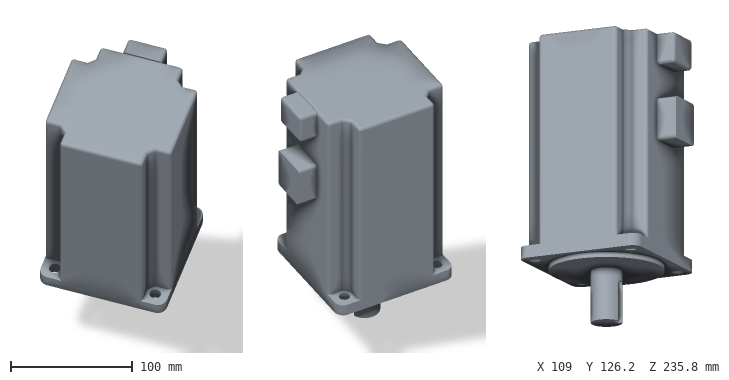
import cadquery as cq

pilot_bottom = 43.9
flange_bottom = 48.0
flange_top = 58.5
housing_top = 235.8

body_side = 109.0
flange_corner_radius = 8.0
hole_spacing = 86.8
hole_diameter = 9.5

notch_depth = 18.9
notch_chamfer = 5.5
edge_radius = 2.8

pilot_diameter = 95.5
shaft_diameter = 26.0

keyway_width = 8.0
keyway_depth = 4.0
keyway_top = 34.5

connector_width = 33.7
upper_connector_length = 15.8
upper_connector_bottom = 209.5
upper_connector_top = 235.3
lower_connector_length = 17.2
lower_connector_bottom = 145.3
lower_connector_top = 180.9

half_side = body_side / 2


def cylinder(diameter, bottom, top):
    """Cylinder on the Z axis between two heights."""
    return cq.Workplane("XY").workplane(offset=bottom).circle(diameter / 2).extrude(top - bottom)


def make_flange():
    """Square plate with rounded corners and four through holes."""
    return (
        cq.Workplane("XY")
        .workplane(offset=flange_bottom)
        .rect(body_side, body_side)
        .extrude(flange_top - flange_bottom)
        .edges("|Z")
        .fillet(flange_corner_radius)
        .faces(">Z")
        .workplane(origin=(0, 0, flange_top))
        .rect(hole_spacing, hole_spacing, forConstruction=True)
        .vertices()
        .hole(hole_diameter)
    )


def make_notch(x_side, y_side):
    """Square corner cutter whose inner corner is bevelled; the sides are +1 or -1."""
    inner = half_side - notch_depth
    bevel = inner + notch_chamfer
    outline = [
        (half_side, inner),
        (bevel, inner),
        (inner, bevel),
        (inner, half_side),
        (half_side, half_side),
    ]
    return (
        cq.Workplane("XY")
        .workplane(offset=flange_top)
        .polyline([(x_side * x, y_side * y) for x, y in outline])
        .close()
        .extrude(housing_top - flange_top)
    )


def make_housing():
    """Square block with notched corners, rounded vertical outer edges and a rounded top rim."""
    housing = (
        cq.Workplane("XY")
        .workplane(offset=flange_top)
        .rect(body_side, body_side)
        .extrude(housing_top - flange_top)
    )
    for x_side in (-1, 1):
        for y_side in (-1, 1):
            housing = housing.cut(make_notch(x_side, y_side))
    housing = housing.faces("<X or >X or <Y or >Y").edges("|Z").fillet(edge_radius)
    return housing.faces(">Z").edges().fillet(edge_radius)


def make_connector(length, bottom, top):
    """Box standing out from the +Y face, with its lengthwise edges rounded."""
    return (
        cq.Workplane("XY")
        .box(connector_width, length, top - bottom, centered=(True, False, False))
        .translate((0, half_side, bottom))
        .edges("|Y")
        .fillet(edge_radius)
    )


def make_keyway():
    """Slot cutter with a round upper end, running out through the free end of the shaft."""
    floor = shaft_diameter / 2 - keyway_depth
    half_width = keyway_width / 2
    arc_start = keyway_top - half_width
    return (
        cq.Workplane("XZ", origin=(0, floor, 0))
        .moveTo(-half_width, 0)
        .lineTo(-half_width, arc_start)
        .threePointArc((0, keyway_top), (half_width, arc_start))
        .lineTo(half_width, 0)
        .close()
        .extrude(-shaft_diameter)
    )


shaft = cylinder(shaft_diameter, 0, pilot_bottom).cut(make_keyway())
pilot = cylinder(pilot_diameter, pilot_bottom, flange_bottom)

upper_connector = make_connector(upper_connector_length, upper_connector_bottom, upper_connector_top)
upper_connector = upper_connector.faces(">Y").edges().fillet(edge_radius)
lower_connector = make_connector(lower_connector_length, lower_connector_bottom, lower_connector_top)

result = (
    make_housing()
    .union(make_flange())
    .union(pilot)
    .union(shaft)
    .union(upper_connector)
    .union(lower_connector)
)